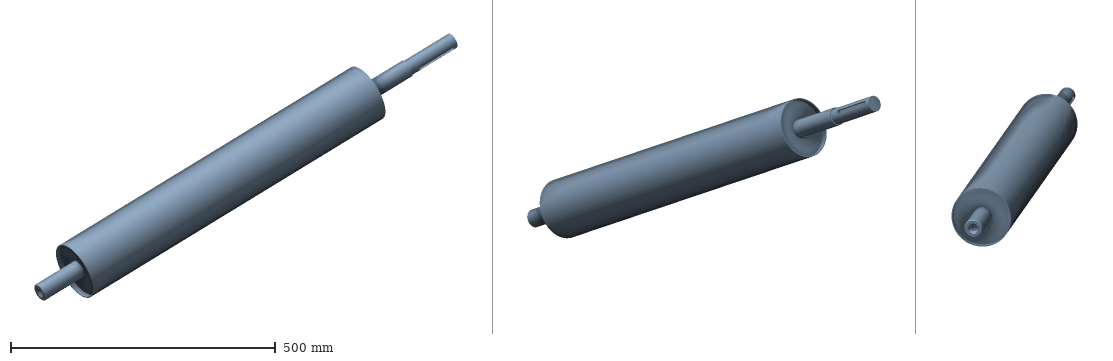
import cadquery as cq
import math

total_length = 993.0
front_y = -total_length / 2
back_y = total_length / 2
shaft_diameter = 35.0
front_face_diameter = 32.0
front_chamfer = (shaft_diameter - front_face_diameter) / 2
back_journal_diameter = 31.0
back_journal_length = 109.0

keyway_width = 10.0
keyway_length = 83.0
keyway_depth = 5.0
keyway_end_gap = 8.0

core_diameter = 36.0

roller_diameter = 114.0
recess_diameter = 110.0
recess_depth = 10.0
front_overhang = 84.0
back_overhang = 207.0
roller_front_y = front_y + front_overhang
roller_back_y = back_y - back_overhang

mouth_diameter = 20.0
mouth_half_angle = math.radians(30)
counterbore_diameter = 13.0
counterbore_depth = 10.0
pilot_diameter = 10.0
pilot_depth = 30.0
mouth_depth = (mouth_diameter - counterbore_diameter) / 2 / math.tan(mouth_half_angle)


def cylinder(diameter, start_y, end_y):
    """Solid cylinder on the Y axis between two Y positions."""
    base = cq.Workplane("XZ", origin=(0, start_y, 0))
    return base.circle(diameter / 2).extrude(start_y - end_y)


def make_shaft():
    shoulder_y = back_y - back_journal_length
    shaft = cylinder(shaft_diameter, front_y, shoulder_y)
    shaft = shaft.faces("<Y").chamfer(front_chamfer)
    core = cylinder(core_diameter, roller_front_y, roller_back_y)
    back_journal = cylinder(back_journal_diameter, shoulder_y, back_y)
    return shaft.union(core).union(back_journal)


def make_keyway():
    centre_y = back_y - keyway_end_gap - keyway_length / 2
    floor_x = back_journal_diameter / 2 - keyway_depth
    floor = cq.Workplane("YZ", origin=(floor_x, centre_y, 0))
    return floor.slot2D(keyway_length, keyway_width).extrude(2 * keyway_depth)


def make_roller():
    roller = cylinder(roller_diameter, roller_front_y, roller_back_y)
    front_recess = cylinder(recess_diameter, roller_front_y, roller_front_y + recess_depth)
    back_recess = cylinder(recess_diameter, roller_back_y - recess_depth, roller_back_y)
    return roller.cut(front_recess).cut(back_recess)


def make_centre_hole():
    mouth = cq.Workplane(
        cq.Solid.makeCone(
            mouth_diameter / 2,
            counterbore_diameter / 2,
            mouth_depth,
            pnt=cq.Vector(0, front_y, 0),
            dir=cq.Vector(0, 1, 0),
        )
    )
    counterbore = cylinder(counterbore_diameter, front_y, front_y + counterbore_depth)
    pilot = cylinder(pilot_diameter, front_y, front_y + pilot_depth)
    return mouth.union(counterbore).union(pilot)


result = make_shaft().union(make_roller()).cut(make_centre_hole()).cut(make_keyway())